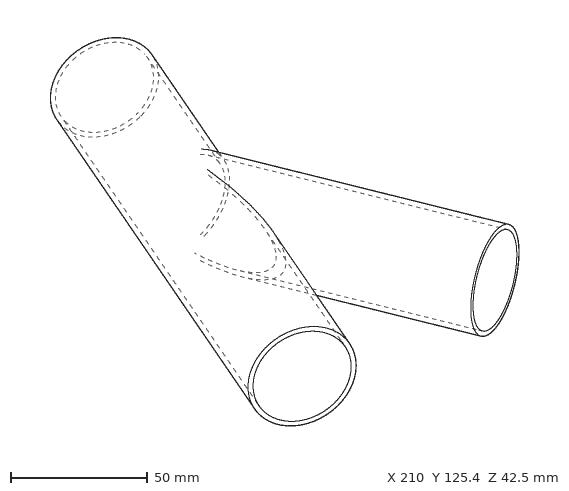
import cadquery as cq

outer_diameter = 42.5
bore_diameter = 38.5
main_length = 210.0
branch_length = 126.0
axis_crossing = 84.0
branch_angle = 45.0



def main_cylinder(diameter):
    """Cylinder along X with the full length of the main pipe."""
    start_plane = cq.Workplane("YZ", origin=(-axis_crossing, 0, 0))
    return start_plane.circle(diameter / 2).extrude(main_length)


def branch_cylinder(diameter):
    """Cylinder from the axis crossing to the open end of the branch."""
    along_x = cq.Workplane("YZ").circle(diameter / 2).extrude(branch_length)
    return along_x.rotate((0, 0, 0), (0, 0, 1), branch_angle)


outside = main_cylinder(outer_diameter).union(branch_cylinder(outer_diameter))
bores = main_cylinder(bore_diameter).union(branch_cylinder(bore_diameter))

result = outside.cut(bores)